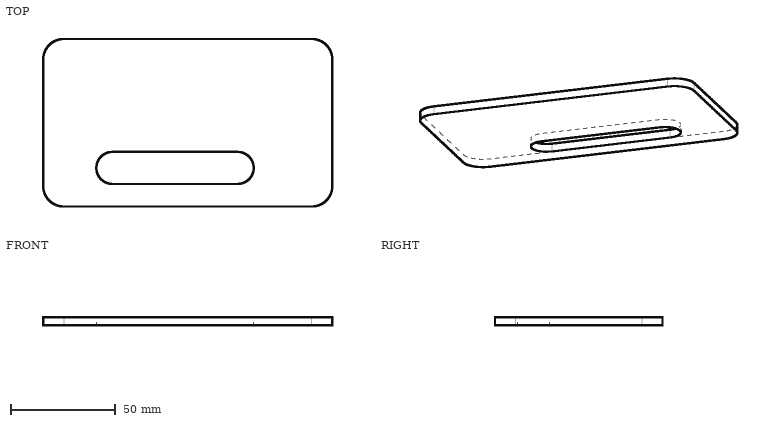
import cadquery as cq

plate_length = 138.0
plate_width = 80.0
plate_thickness = 4.0
corner_radius = 10.0

slot_length = 75.0
slot_width = 15.2
slot_center_x = -6.1
slot_center_y = -21.5

plate = (
    cq.Workplane("XY")
    .rect(plate_length, plate_width)
    .extrude(plate_thickness)
    .edges("|Z")
    .fillet(corner_radius)
)

slot = (
    cq.Workplane("XY")
    .center(slot_center_x, slot_center_y)
    .slot2D(slot_length, slot_width)
    .extrude(plate_thickness)
)

result = plate.cut(slot)